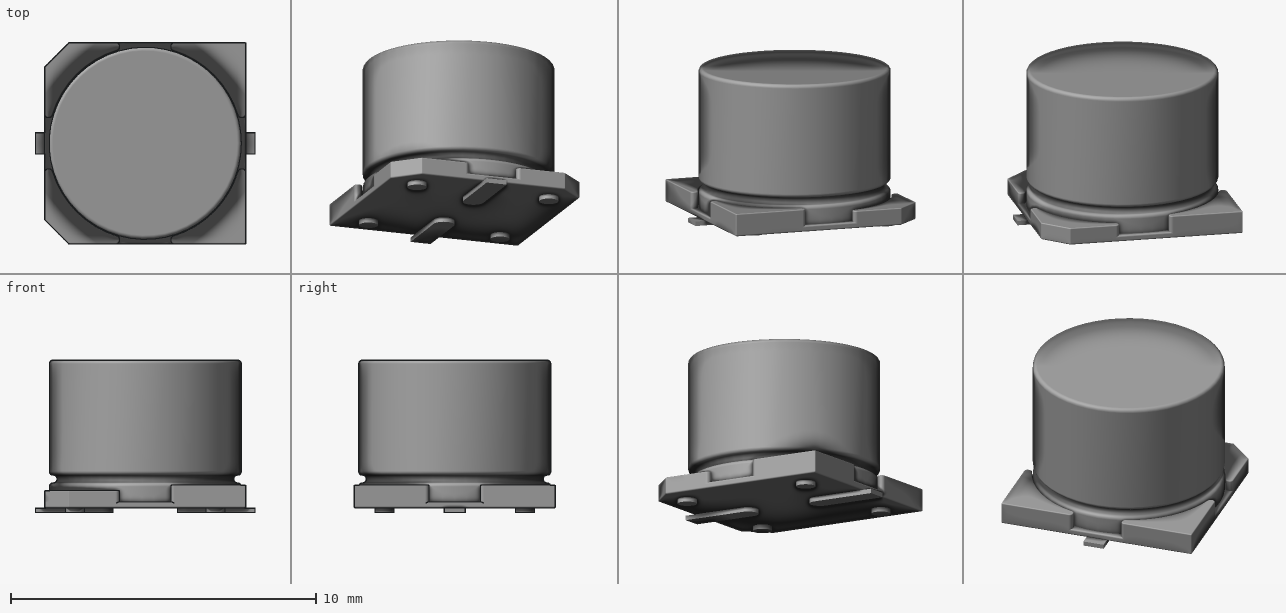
import cadquery as cq
import math

TOTAL_HEIGHT = 5.0
TERMINAL_SPAN = 7.2

BASE_SIDE = 6.6
BASE_BOTTOM = 0.15
SEAT_Z = 0.35
LOW_CORNER_TOP = 0.72
HIGH_CORNER_TOP = 0.90
BLOCK_BOTTOM = 0.25
CORNER_CHAMFER = 0.80
RIM_ROUND = 0.05
EDGE_ROUND = 0.035
SEAT_DIAMETER = 6.35
OPENING_WIDTH = 1.68
OPENING_ROUND = 0.12

CAN_DIAMETER = 6.3
BEAD_RADIUS = 0.125
GROOVE_Z = 1.10

TERMINAL_WIDTH = 0.70
TERMINAL_INNER_X = 1.05
FOOT_DIAMETER = 0.63
FOOT_OFFSET = 2.30

BASE_HALF = BASE_SIDE / 2
CAN_RADIUS = CAN_DIAMETER / 2


def base_outline(bottom, top):
    """Square slab with its two -X corners chamfered and all its upright edges rounded."""
    slab = cq.Workplane("XY").box(BASE_SIDE, BASE_SIDE, top - bottom, centered=(True, True, False))
    slab = slab.edges("|Z and <X").chamfer(CORNER_CHAMFER)
    slab = slab.edges("|Z").fillet(EDGE_ROUND)
    return slab.translate((0, 0, bottom))


def corner_block(side_x, side_y, top):
    """One upright corner of the base, hollowed by the seat and rounded at both ends."""
    opening_half = OPENING_WIDTH / 2
    block_side = BASE_HALF - opening_half
    centre = opening_half + block_side / 2
    quadrant = (
        cq.Workplane("XY", origin=(side_x * centre, side_y * centre, BLOCK_BOTTOM))
        .box(block_side, block_side, top - BLOCK_BOTTOM, centered=(True, True, False))
    )
    seat = cq.Workplane("XY").circle(SEAT_DIAMETER / 2).extrude(TOTAL_HEIGHT)
    block = base_outline(BLOCK_BOTTOM, top).intersect(quadrant).cut(seat)
    reach = opening_half + EDGE_ROUND
    ends = cq.selectors.BoxSelector((-reach, -BASE_SIDE, 0), (reach, BASE_SIDE, TOTAL_HEIGHT))
    ends = ends + cq.selectors.BoxSelector((-BASE_SIDE, -reach, 0), (BASE_SIDE, reach, TOTAL_HEIGHT))
    block = block.edges(cq.selectors.StringSyntaxSelector("|Z") & ends).fillet(OPENING_ROUND)
    return block.faces(">Z").edges().fillet(EDGE_ROUND)


def make_base():
    base = base_outline(BASE_BOTTOM, SEAT_Z)
    base = base.faces("<Z or >Z").edges().fillet(RIM_ROUND)
    for side_y in (-1, 1):
        base = base.union(corner_block(-1, side_y, LOW_CORNER_TOP))
        base = base.union(corner_block(1, side_y, HIGH_CORNER_TOP))
    return base


def make_can():
    """Revolved can with a rounded top edge and a crimp groove near the bottom."""
    lip_radius = CAN_RADIUS - BEAD_RADIUS
    bead_mid = BEAD_RADIUS * math.sqrt(0.5)
    bead_start = 2 * BEAD_RADIUS
    profile = (
        cq.Workplane("XZ")
        .moveTo(0, SEAT_Z)
        .lineTo(CAN_RADIUS, SEAT_Z)
        .lineTo(CAN_RADIUS, GROOVE_Z - bead_start)
        .threePointArc(
            (lip_radius + bead_mid, GROOVE_Z - bead_start + bead_mid),
            (lip_radius, GROOVE_Z - BEAD_RADIUS),
        )
        .threePointArc((lip_radius - BEAD_RADIUS, GROOVE_Z), (lip_radius, GROOVE_Z + BEAD_RADIUS))
        .threePointArc(
            (lip_radius + bead_mid, GROOVE_Z + bead_start - bead_mid),
            (CAN_RADIUS, GROOVE_Z + bead_start),
        )
        .lineTo(CAN_RADIUS, TOTAL_HEIGHT)
        .lineTo(0, TOTAL_HEIGHT)
        .close()
    )
    can = profile.revolve(360, (0, 0, 0), (0, 1, 0))
    return can.faces(">Z").edges().fillet(BEAD_RADIUS)


def make_terminal(side_x):
    """Flat tab under the base with a fully rounded inner end."""
    half_width = TERMINAL_WIDTH / 2
    round_centre = side_x * (TERMINAL_INNER_X + half_width)
    return (
        cq.Workplane("XY")
        .moveTo(side_x * TERMINAL_SPAN / 2, -half_width)
        .lineTo(round_centre, -half_width)
        .threePointArc((side_x * TERMINAL_INNER_X, 0), (round_centre, half_width))
        .lineTo(side_x * TERMINAL_SPAN / 2, half_width)
        .close()
        .extrude(BASE_BOTTOM)
    )


def make_feet():
    """Four round standoffs under the corners of the base."""
    return (
        cq.Workplane("XY")
        .rect(2 * FOOT_OFFSET, 2 * FOOT_OFFSET, forConstruction=True)
        .vertices()
        .circle(FOOT_DIAMETER / 2)
        .extrude(BASE_BOTTOM)
    )


result = make_base().union(make_can()).union(make_feet())
for side in (-1, 1):
    result = result.union(make_terminal(side))